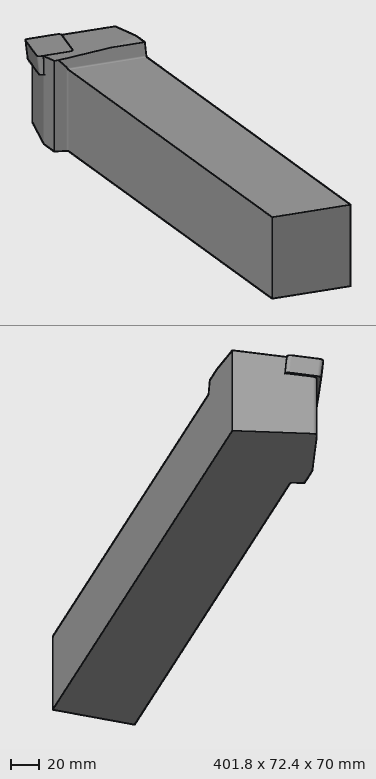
import cadquery as cq
import math

shank_side = 60.0
shank_end_x = 400.0
back_y = shank_side / 2
shank_front_y = -shank_side / 2

head_height = 70.0
head_front_y = -39.3
head_back_left_x = 17.0
head_front_left_x = 48.2
head_end_x = 65.4
head_corner_radius = 2.8

approach = math.radians(15.0)
cos_approach = math.cos(approach)
sin_approach = math.sin(approach)

neck_slope = math.tan(math.radians(15.0))
neck_radius = 1.4
neck_top_x = head_end_x + (head_height - shank_side) * neck_slope
neck_front_x = head_end_x + (shank_front_y - head_front_y) * neck_slope

rake_start_x = 50.6
rake_slope = math.tan(math.radians(5.8))
slope_x = rake_slope * (cos_approach + sin_approach)
slope_y = rake_slope * (cos_approach - sin_approach)

insert_length = 50.5
insert_width = 25.5
insert_thickness = 13.5
insert_corner_radius = 3.1
insert_center_x = 24.95
insert_center_y = -24.33
insert_center_z = (
    head_height
    + slope_x * (insert_center_x - rake_start_x)
    + slope_y * (insert_center_y - back_y)
)

rake_plane = cq.Plane(
    origin=(insert_center_x, insert_center_y, insert_center_z),
    xDir=(cos_approach, -sin_approach, slope_x * cos_approach - slope_y * sin_approach),
    normal=(-slope_x, -slope_y, 1),
)

clearance_size = 3 * head_height


def fillet_edge_near(body, point, radius):
    """Round the one edge of the body whose centre is nearest to the point."""
    return body.edges(cq.selectors.NearestToPointSelector(point)).fillet(radius)


def make_insert():
    return (
        cq.Workplane(rake_plane)
        .sketch()
        .rect(insert_length, insert_width)
        .vertices()
        .fillet(insert_corner_radius)
        .finalize()
        .extrude(-insert_thickness)
    )


def make_holder():
    run_x = head_front_left_x - head_back_left_x
    run_y = back_y - head_front_y
    end_face_length = run_y * cos_approach - run_x * sin_approach
    corner_x = head_back_left_x - end_face_length * sin_approach
    corner_y = back_y - end_face_length * cos_approach

    plan = (
        cq.Workplane("XY")
        .moveTo(head_back_left_x, back_y)
        .lineTo(corner_x, corner_y)
        .lineTo(head_front_left_x, head_front_y)
        .lineTo(head_end_x, head_front_y)
        .lineTo(neck_front_x, shank_front_y)
        .lineTo(shank_end_x, shank_front_y)
        .lineTo(shank_end_x, back_y)
        .close()
        .extrude(head_height)
    )
    plan = fillet_edge_near(plan, (corner_x, corner_y, head_height / 2), head_corner_radius)

    profile = (
        cq.Workplane("XZ")
        .moveTo(0, 0)
        .lineTo(0, head_height)
        .lineTo(head_end_x, head_height)
        .lineTo(neck_top_x, shank_side)
        .lineTo(shank_end_x, shank_side)
        .lineTo(shank_end_x, 0)
        .close()
        .extrude(shank_side, both=True)
    )
    body = plan.intersect(profile)

    body = fillet_edge_near(body, (neck_front_x, shank_front_y, shank_side / 2), neck_radius)
    body = fillet_edge_near(body, (neck_top_x, 0, shank_side), neck_radius)

    above_rake = cq.Workplane(rake_plane).rect(clearance_size, clearance_size).extrude(head_height)
    return body.cut(above_rake)


insert = make_insert()

holder = make_holder().cut(insert)

result = cq.Compound.makeCompound([holder.val(), insert.val()])